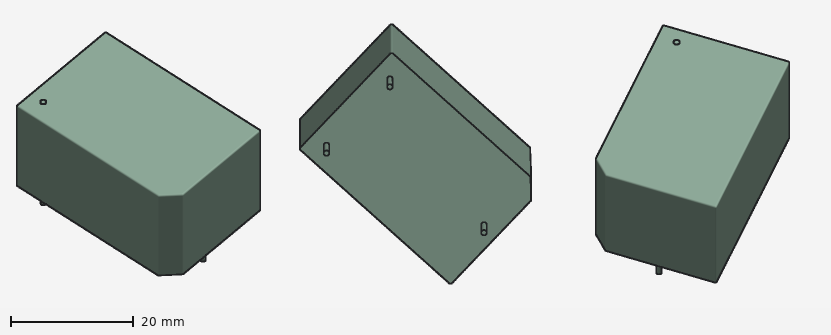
import cadquery as cq

length = 33.7
width = 22.2
total_height = 24.1
pin_length = 5.05
dot_height = 0.1
body_height = total_height - pin_length - dot_height
corner_cut = 2.85
edge_radius = 0.3

pin_diameter = 0.9
pin_x = 14.0
pin_y = 7.6
dot_diameter = 1.0
input_pins = [(-pin_x, -pin_y), (-pin_x, pin_y)]
output_pins = [(pin_x, 0)]


def make_housing():
    """Block with one cut corner, rounded everywhere except around the base."""
    block = cq.Workplane("XY").box(length, width, body_height, centered=(True, True, False))
    block = block.edges("|Z and >X and <Y").chamfer(corner_cut)
    return block.edges("|Z or >Z").fillet(edge_radius)


def make_pins():
    """Round pins hanging below the base."""
    base = cq.Workplane("XY").pushPoints(input_pins + output_pins)
    return base.circle(pin_diameter / 2).extrude(-pin_length)


def make_dot():
    """Raised disc marking the first pin."""
    return (
        cq.Workplane("XY", origin=(0, 0, body_height))
        .pushPoints(input_pins[:1])
        .circle(dot_diameter / 2)
        .extrude(dot_height)
    )


result = make_housing().union(make_pins()).union(make_dot())